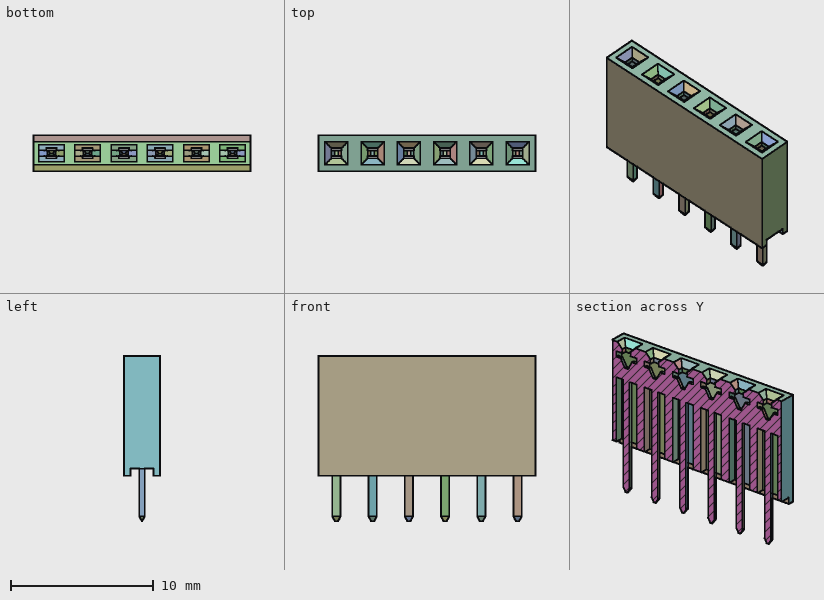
import cadquery as cq
import math

PITCH = 2.54
POSITIONS = 6
TOTAL_HEIGHT = 11.6
HOUSING_HEIGHT = 8.4
GROOVE_DEPTH = 0.5
OPENING = 1.6
THROAT = 0.7
MOUTH_DEPTH = 0.45
THROAT_LENGTH = 0.35
CAVITY_LENGTH = 1.8
CAVITY_WIDTH = 1.2

PIN_WIDTH = 0.6
PIN_THICKNESS = 0.4
TIP_HEIGHT = 0.35
TIP_RIDGE = 0.2
FORK_FLOOR = 0.25
FORK_MOUTH = 1.0
FORK_SLOPE = 60
FORK_DROP = 0.4
FORK_BASE = 1.0

HOUSING_LENGTH = PITCH * POSITIONS
PIN_LENGTH = TOTAL_HEIGHT - HOUSING_HEIGHT
CAVITY_TOP = HOUSING_HEIGHT - MOUTH_DEPTH - THROAT_LENGTH
FORK_TOP_Z = CAVITY_TOP - FORK_DROP
FORK_DEPTH = (FORK_MOUTH - FORK_FLOOR) / 2 * math.tan(math.radians(FORK_SLOPE))
FORK_FLOOR_Z = FORK_TOP_Z - FORK_DEPTH
FORK_BASE_Z = FORK_FLOOR_Z - FORK_BASE
TIP_START_Z = TIP_HEIGHT - PIN_LENGTH


def box_between(length, width, bottom, top):
    """Box centred on the Z axis between two heights."""
    return cq.Workplane("XY").workplane(offset=bottom).rect(length, width).extrude(top - bottom)


def make_housing():
    """Rectangular block with a groove along its underside."""
    block = box_between(HOUSING_LENGTH, PITCH, 0, HOUSING_HEIGHT)
    groove = box_between(HOUSING_LENGTH, OPENING, 0, GROOVE_DEPTH)
    return block.cut(groove)


def make_socket():
    """Space of one socket: tapered mouth, square throat and a wider cavity open at the bottom."""
    mouth = (
        cq.Workplane("XY")
        .workplane(offset=HOUSING_HEIGHT)
        .rect(OPENING, OPENING)
        .workplane(offset=-MOUTH_DEPTH)
        .rect(THROAT, THROAT)
        .loft(ruled=True)
    )
    throat = box_between(THROAT, THROAT, CAVITY_TOP, HOUSING_HEIGHT - MOUTH_DEPTH)
    cavity = box_between(CAVITY_LENGTH, CAVITY_WIDTH, 0, CAVITY_TOP)
    return mouth.union(throat).union(cavity)


def make_fork():
    """Plate across the cavity with a V gap, flat at the bottom, between its two tines."""
    plate = box_between(CAVITY_LENGTH, PIN_THICKNESS, FORK_BASE_Z, FORK_TOP_Z)
    gap = (
        cq.Workplane("XZ")
        .polyline([
            (-FORK_FLOOR / 2, FORK_FLOOR_Z),
            (FORK_FLOOR / 2, FORK_FLOOR_Z),
            (FORK_MOUTH / 2, FORK_TOP_Z),
            (-FORK_MOUTH / 2, FORK_TOP_Z),
        ])
        .close()
        .extrude(PIN_THICKNESS / 2, both=True)
    )
    return plate.cut(gap)


def make_pin():
    """Rectangular pin whose tip narrows to a short ridge along X."""
    shank = box_between(PIN_WIDTH, PIN_THICKNESS, TIP_START_Z, FORK_BASE_Z)
    tip = cq.Workplane("XY").add(
        cq.Solid.makeWedge(
            PIN_WIDTH, TIP_HEIGHT, PIN_THICKNESS,
            (PIN_WIDTH - TIP_RIDGE) / 2, PIN_THICKNESS / 2,
            (PIN_WIDTH + TIP_RIDGE) / 2, PIN_THICKNESS / 2,
        )
    )
    tip = (
        tip.rotate((0, 0, 0), (1, 0, 0), -90)
        .translate((-PIN_WIDTH / 2, -PIN_THICKNESS / 2, TIP_START_Z))
    )
    return shank.union(tip)


socket = make_socket()
contact = make_fork().union(make_pin())

result = make_housing()
for position in range(POSITIONS):
    x = (position - (POSITIONS - 1) / 2) * PITCH
    result = result.cut(socket.translate((x, 0, 0)))
    result = result.union(contact.translate((x, 0, 0)))